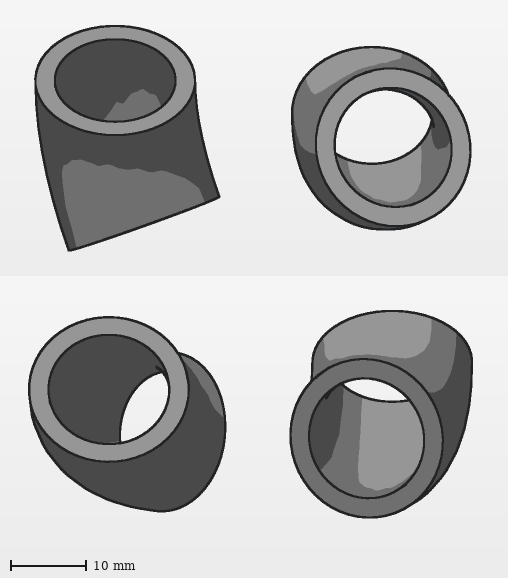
import cadquery as cq

outer_diameter = 21.3
inner_diameter = 16.08
bend_radius = 27.52
bend_angle = 45.0

pipe_section = cq.Workplane("XY").circle(outer_diameter / 2).circle(inner_diameter / 2)
axis_start = (bend_radius, 0, 0)
axis_end = (bend_radius, -1, 0)
result = pipe_section.revolve(bend_angle, axis_start, axis_end)